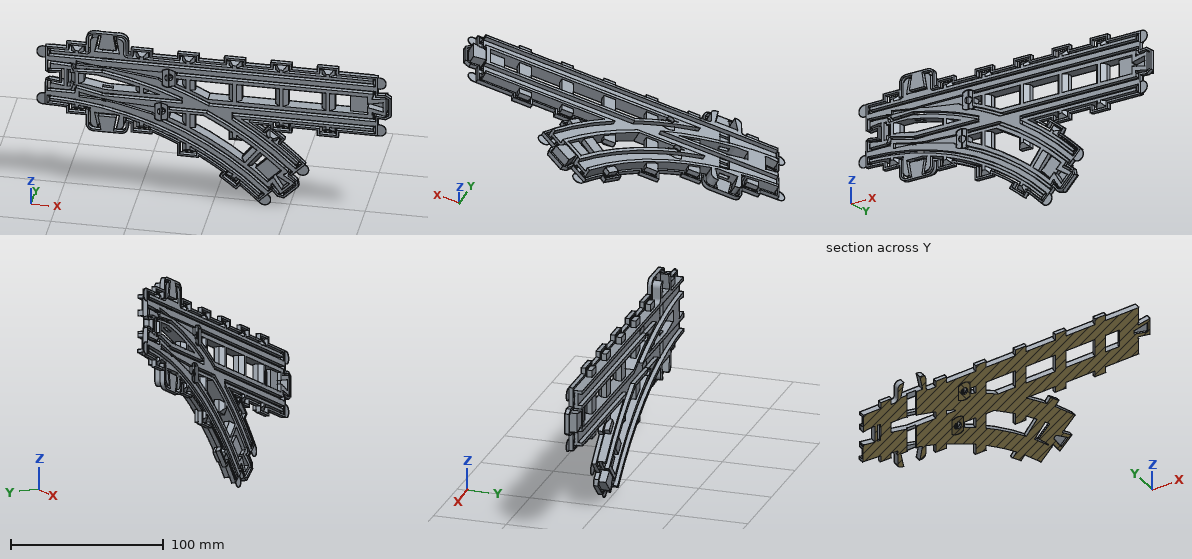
import cadquery as cq
import math


skirt_height = 3.0
channel_floor = 5.2
rail_top = 8.2
nub_top = 7.6
sleeper_top = 6.6
branch_drop = 0.2

rail_inner = 6.6
groove_inner = 9.4
rib_inner = 11.5
rib_outer = 15.1
groove_outer = 17.2
rail_outer = 19.3
skirt_inner = 20.8
skirt_outer = 22.2
channel_inner = 9.1
channel_outer = 17.1

joint_gauge = 17.9
joint_diameter = 8.5
joint_thickness = 0.3
left_joint = -1.4
straight_length = 224.0
right_joint = left_joint + straight_length
end_setback = 1.4
body_setback = 4.6
branch_radius = 226.0
branch_angle = 45.0
left_end = left_joint + end_setback
rails_left = left_joint + body_setback
skirt_wall = skirt_outer - skirt_inner

sleeper_width = 8.5
sleeper_end = 24.0
sleeper_taper = 45.0
loop_width = 14.0
loop_clearance = 2.3
sleeper_pitch = 31.0
first_sleeper = 21.0
second_sleeper = 64.0
sleeper_xs = [first_sleeper] + [second_sleeper + i * sleeper_pitch for i in range(5)]
sleeper_lower_ends = [-25.0, -34.9, -49.4, -37.4, -sleeper_end, -sleeper_end]
stub_sleeper = 3
branch_sleeper_angle = 38.0

lug_x = 41.1
lug_width = 27.8
lug_height = 35.75
lug_wall = 1.3
lug_gap = 1.5
lug_radius = 5.0
lug_lower_shift = 3.3
tab_top_width = 8.0
tab_bottom_width = 12.0
tab_bottom = 23.8
horn_top = 32.8
horn_root_gap = 2.1
horn_flare = 2.6

tunnel_length = 7.0
pivot_diameter = 13.8
pivot_hole = 5.0
pivot_flat = 4.2
pivot_wall = 1.2
pivot_web = 1.2
pivot_recess = 0.5
pivot_step = 1.0
blade_recess = 2.0
upper_pivot = (82.0, 6.35)
lower_pivot = (77.0, -19.8)
upper_blade_outline = [(20.6, 13.0), (36.9, 10.6), (47.6, 10.8), (77.8, 10.8), (77.8, 3.2),
                       (75.2, 5.1), (47.6, 8.7), (43.3, 9.7), (20.6, 10.1)]
lower_blade_outline = [(22.4, -10.5), (39.0, -13.9), (47.6, -15.1), (60.3, -15.5), (72.8, -16.2),
                       (72.8, -23.0), (71.0, -21.8), (47.6, -16.3), (39.1, -14.8), (22.4, -14.0)]


def plane(y_start):
    return cq.Workplane("XZ", origin=(0, y_start, 0))


def prism(points, y_start, y_end):
    return plane(y_start).polyline(points).close().extrude(y_start - y_end)


def block(x_start, x_end, z_start, z_end, y_start, y_end):
    corners = [(x_start, z_start), (x_end, z_start), (x_end, z_end), (x_start, z_end)]
    return prism(corners, y_start, y_end)


def cylinder(center, diameter, y_start, y_end):
    return plane(y_start).center(*center).circle(diameter / 2).extrude(y_start - y_end)


def turned(shape, angle):
    """Turn a shape about the axis of the branch arc, from the left joint along the branch."""
    axis_start = (left_joint, 0, -branch_radius)
    axis_end = (left_joint, 1, -branch_radius)
    return shape.rotate(axis_start, axis_end, angle)


def mirrored(points):
    """Close an outline given by its +Z half, from start to end, with its mirror image."""
    return points + [(x, -z) for x, z in reversed(points)]


def branch_point(offset, setback, at_end):
    """Point of the branch, a setback along the centre line from its start or its end."""
    radius = branch_radius + offset
    setback_angle = setback / branch_radius
    angle = math.radians(branch_angle) - setback_angle if at_end else setback_angle
    return left_joint + radius * math.sin(angle), -branch_radius + radius * math.cos(angle)


def branch_arc_middle(offset):
    angle = math.radians(branch_angle / 2)
    radius = branch_radius + offset
    return left_joint + radius * math.sin(angle), -branch_radius + radius * math.cos(angle)


def branch_band(inner, outer, setback, y_start, y_end):
    return (
        plane(y_start)
        .moveTo(*branch_point(outer, setback, False))
        .threePointArc(branch_arc_middle(outer), branch_point(outer, setback, True))
        .lineTo(*branch_point(inner, setback, True))
        .threePointArc(branch_arc_middle(inner), branch_point(inner, setback, False))
        .close()
        .extrude(y_start - y_end)
    )


def straight_band(inner, outer, setback, y_start, y_end):
    return block(left_joint + setback, right_joint - setback, inner, outer, y_start, y_end)


def track_bands(inner, outer, setback, y_start, y_end):
    """The same band on both sides of the straight track and of the branch."""
    bands = straight_band(inner, outer, setback, y_start, y_end)
    bands = bands.union(straight_band(-outer, -inner, setback, y_start, y_end))
    bands = bands.union(branch_band(inner, outer, setback, y_start, y_end))
    return bands.union(branch_band(-outer, -inner, setback, y_start, y_end))


guard_left = 12.4
guard_wall_end = 14.5
guard_start = 16.6
guard_inner = 3.9
notch_root = 5.2
upper_guard = [(guard_start, 12.0), (guard_start, guard_inner), (40.0, guard_inner), (50.0, 12.0)]
lower_guard = [(guard_start, -12.0), (guard_start, -guard_inner), (26.0, -guard_inner),
               (40.0, -rail_inner), (40.0, -12.0)]
upper_switch_rib = [(18.6, 15.1), (20.6, 7.3), (37.0, 8.1), (47.6, 8.0), (77.8, 1.0),
                    (77.8, 12.0), (47.6, 12.0), (47.6, 15.1)]
lower_switch_rib = [(18.6, -15.1), (20.6, -7.3), (39.0, -11.5), (72.8, -12.5), (72.8, -26.3),
                    (47.6, -18.5), (39.0, -15.1)]
left_frog = [(91.0, -6.5), (103.0, -11.5), (103.0, -13.0), (91.0, -13.0)]
right_frog = [(113.0, -14.6), (124.3, -14.6), (124.3, -20.8)]
upper_guard_groove = [(16.5, 11.3), (18.2, 10.8), (20.6, 7.3), (37.6, 8.1), (37.6, 6.0),
                      (27.0, 5.6), (18.6, 5.2), (17.4, 8.6), (16.5, 9.2)]
lower_guard_groove = [(16.5, -11.3), (18.2, -10.8), (20.6, -7.3), (37.6, -11.2), (37.6, -9.1),
                      (20.6, -5.2), (18.6, -5.2), (17.4, -8.6), (16.5, -9.2)]


def left_socket_block():
    """Cross wall and cheeks of the coupling socket at the left end, with a floor behind."""
    outline = mirrored([(guard_left, rail_inner), (rails_left, notch_root), (rails_left, groove_inner),
                        (guard_wall_end, groove_inner)])
    cheeks = prism(outline, 0, rail_top)
    floor_end = first_sleeper + sleeper_width / 2
    floor = block(guard_left, floor_end, -rail_inner, rail_inner, channel_floor, rail_top)
    return cheeks.union(floor)


def rails():
    body = track_bands(rail_inner, rail_outer, body_setback, 0, rail_top)
    body = body.union(prism(upper_guard, 0, rail_top))
    body = body.union(prism(lower_guard, 0, rail_top))
    return body.union(left_socket_block())


def hollowed(body):
    """Cut the underside grooves and put back the middle ribs that cross them."""
    for inner, outer in ((groove_inner, rib_inner), (rib_outer, groove_outer)):
        for side_inner, side_outer in ((inner, outer), (-outer, -inner)):
            body = body.cut(straight_band(side_inner, side_outer, body_setback, 0, skirt_height))
            body = body.cut(branch_band(side_inner, side_outer, body_setback, 0, skirt_height))
    for side_inner, side_outer in ((rib_inner, rib_outer), (-rib_outer, -rib_inner)):
        body = body.union(straight_band(side_inner, side_outer, end_setback, 0, skirt_height))
        body = body.union(branch_band(side_inner, side_outer, end_setback, 0, skirt_height))
    for outline in (upper_switch_rib, lower_switch_rib, left_frog, right_frog):
        body = body.union(prism(outline, 0, skirt_height))
    for outline in (upper_guard_groove, lower_guard_groove):
        body = body.cut(prism(outline, 0, skirt_height))
    return body


def wheel_channels():
    return track_bands(channel_inner, channel_outer, 0, channel_floor, rail_top)


def sleeper(x, z_start, z_end):
    """Sleeper across the track, with sloped sides and ends on the underside."""
    base = plane(skirt_height).center(x, (z_start + z_end) / 2).rect(sleeper_width, z_end - z_start)
    hip = base.extrude(skirt_height, taper=sleeper_taper)
    return hip.union(block(x - sleeper_width / 2, x + sleeper_width / 2, z_start, z_end,
                           skirt_height, sleeper_top))


def sleepers():
    body = turned(sleeper(left_joint, -sleeper_end, sleeper_end), branch_sleeper_angle)
    for x, lower_end in zip(sleeper_xs, sleeper_lower_ends):
        body = body.union(sleeper(x, lower_end, sleeper_end))
    return body


end_wall_start = -8.1
end_wall_end = -5.0
end_plate_start = -20.0
end_plate_front = 2.5
nub_tip = 4.1
nub_root = 5.1
nub_head = 6.7
hood_tip = 7.4
hood_wall = 1.5
pocket_start = -8.1
pocket_tip = 2.3
pocket_mouth = 1.2
pocket_head = 3.6
hood_root = -6.0
hood_root_half = 8.4
hood_shoulder = 3.8
hood_shoulder_half = 9.3
hood_tip_half = 6.9


def at_joint(points):
    return [(left_joint + x, z) for x, z in points]


def end_coupling():
    """End wall, floor plate and dovetail nub with its pocket."""
    wall = prism(at_joint(mirrored([(end_wall_start, groove_inner), (end_wall_end, groove_inner)])),
                 0, rail_top)
    plate = prism(at_joint(mirrored([(end_plate_start, rail_inner), (end_wall_start, rail_inner)])),
                  end_plate_front, channel_floor)
    nub = prism(at_joint(mirrored([(end_wall_end, nub_root), (nub_tip, nub_head)])), 0, nub_top)
    pocket = prism(at_joint(mirrored([(pocket_start, pocket_mouth), (pocket_tip, pocket_head)])),
                   0, channel_floor)
    return wall.union(plate).union(nub).cut(pocket)


hood_outline = [(hood_root, hood_root_half), (hood_shoulder, hood_shoulder_half), (hood_tip, hood_tip_half)]
hood_hollow = [
    (hood_root, hood_root_half - hood_wall),
    (hood_shoulder - hood_wall / 3, hood_shoulder_half - hood_wall),
    (hood_tip - hood_wall, hood_tip_half - hood_wall / 2),
]


def hood(outline, y_start):
    """Part of the skirt around the nub, or its hollow."""
    return prism(at_joint(mirrored(outline)), y_start, skirt_height)


socket_mouth = 3.8
socket_neck = 2.3
socket_neck_x = 2.2
socket_depth = 9.3
socket_half = 3.3


def loop_box(x, z_start, z_end, wall, y_start):
    half = loop_width / 2 - wall
    return block(x - half, x + half, z_start + wall, z_end - wall, y_start, skirt_height)


def lug_box(wall):
    half = lug_width / 2 - wall
    outline = block(lug_x - half, lug_x + half, 0, lug_height - wall, 0, skirt_height)
    return outline.edges("|Y and >Z").fillet(lug_radius - wall)


def lower_side(shape):
    """The lower copy of a side lug feature, shifted out to the branch rail."""
    return shape.mirror("XY").translate((0, 0, -lug_lower_shift))


def skirt_area(wall):
    """Area enclosed by the skirt, drawn in from its outer face by the wall."""
    half = skirt_outer - wall
    setback = end_setback + wall
    area = straight_band(-half, half, setback, 0, skirt_height)
    area = area.union(branch_band(-half, half, setback, 0, skirt_height))
    for index, (x, lower_end) in enumerate(zip(sleeper_xs, sleeper_lower_ends)):
        lower = 0 if index == stub_sleeper else lower_end - loop_clearance
        area = area.union(loop_box(x, lower, sleeper_end + loop_clearance, wall, 0))
    lug = lug_box(wall)
    return area.union(lug).union(lower_side(lug))


def branch_loop_area(wall):
    reach = sleeper_end + loop_clearance
    upper = loop_box(left_joint, rail_outer - wall, reach, wall, -branch_drop)
    lower = loop_box(left_joint, -reach, wall - rail_outer, wall, -branch_drop)
    return turned(upper.union(lower), branch_sleeper_angle)


def socket_area(wall):
    """Dovetail recess of the skirt at the left end, widened by the wall."""
    outline = mirrored([(left_joint, socket_mouth + wall), (left_end, socket_mouth + wall),
                        (left_end + socket_neck_x, socket_neck + wall),
                        (left_end + socket_depth + wall, socket_half + wall)])
    return prism(outline, 0, skirt_height)


def at_both_ends(straight_shape, branch_shape):
    straight_end = straight_shape.translate((straight_length, 0, 0))
    return straight_end.union(turned(branch_shape, branch_angle))


def skirt():
    outer = skirt_area(0).union(branch_loop_area(0)).cut(socket_area(0))
    outer = outer.union(at_both_ends(hood(hood_outline, 0), hood(hood_outline, -branch_drop)))
    inner = skirt_area(skirt_wall).union(branch_loop_area(skirt_wall)).cut(socket_area(lug_wall))
    hollow = hood(hood_hollow, -branch_drop)
    inner_band = branch_band(-skirt_inner, skirt_inner, end_setback + skirt_wall, -branch_drop, 0)
    return outer.cut(inner).cut(inner_band).cut(at_both_ends(hollow, hollow))


def horns():
    half = lug_width / 2 - lug_wall - lug_gap
    body = block(lug_x - half, lug_x + half, groove_outer, horn_top, 0, rail_top)
    body = body.edges("|Y and >Z").fillet(lug_radius - lug_wall)
    for side in (-1, 1):
        edge = lug_x + side * half
        tip = edge + side * horn_flare
        flare = block(min(edge, tip), max(edge, tip), rail_outer, rail_outer + horn_flare, 0, rail_top)
        body = body.union(flare.cut(cylinder((tip, rail_outer + horn_flare), 2 * horn_flare, 0, rail_top)))
    root_half = (tab_bottom_width + 3 * lug_gap) / 2
    tip_half = tab_top_width / 2 + lug_gap
    root = tab_bottom - horn_root_gap
    pocket = [(lug_x - root_half, root), (lug_x + root_half, root),
              (lug_x + tip_half, lug_height), (lug_x - tip_half, lug_height)]
    return body.cut(prism(pocket, 0, rail_top))


def tab():
    top = lug_height - lug_wall / 2
    outline = [(lug_x - tab_bottom_width / 2, tab_bottom), (lug_x + tab_bottom_width / 2, tab_bottom),
               (lug_x + tab_top_width / 2, top), (lug_x - tab_top_width / 2, top)]
    return prism(outline, 0, skirt_height)


def joint_discs():
    pair = cylinder((left_joint, joint_gauge), joint_diameter, 0, joint_thickness)
    pair = pair.union(cylinder((left_joint, -joint_gauge), joint_diameter, 0, joint_thickness))
    return pair.union(at_both_ends(pair, pair))


def pivot_disc(center, flat, y_start, y_end):
    """Disc around the pivot with flats on its -X and +X sides."""
    disc = cylinder(center, pivot_diameter, y_start, y_end)
    keep = block(center[0] - flat, center[0] + flat, center[1] - pivot_diameter,
                 center[1] + pivot_diameter, y_start, y_end)
    return disc.intersect(keep)


def make_pivot(center):
    """Pivot disc with a stepped underside and a hole crossed by a web."""
    disc = pivot_disc(center, pivot_flat, pivot_recess, channel_floor)
    step = block(center[0], center[0] + pivot_diameter, center[1] - pivot_diameter,
                 center[1] + pivot_diameter, pivot_recess, pivot_recess + pivot_step)
    hole = cylinder(center, pivot_hole, 0, rail_top)
    web = block(center[0] - pivot_web, center[0], center[1] - pivot_hole / 2,
                center[1] + pivot_hole / 2, pivot_recess, channel_floor)
    return disc.cut(step).cut(hole).union(web)


def make_blade(outline, center):
    """Flat switch tongue ending at the near flat of its pivot disc."""
    blade = prism(outline, blade_recess, skirt_height)
    return blade.cut(pivot_disc(center, pivot_flat, 0, channel_floor))


def make_track():
    body = rails().union(sleepers()).union(horns()).union(lower_side(horns()))
    body = hollowed(body)
    for center in (upper_pivot, lower_pivot):
        body = body.union(pivot_disc(center, pivot_flat + pivot_wall, 0, channel_floor))
    body = body.union(at_both_ends(end_coupling(), end_coupling()))
    body = body.cut(wheel_channels())
    body = body.cut(block(lug_x - tunnel_length / 2, lug_x + tunnel_length / 2,
                          -lug_height, lug_height, skirt_height, channel_floor))
    body = body.union(skirt()).union(tab()).union(lower_side(tab()))
    body = body.union(joint_discs())
    for outline, center in ((upper_blade_outline, upper_pivot), (lower_blade_outline, lower_pivot)):
        body = body.cut(prism(outline, 0, skirt_height))
        body = body.cut(pivot_disc(center, pivot_flat, 0, channel_floor))
        body = body.cut(cylinder(center, pivot_hole, 0, rail_top))
    return body


track = make_track()
upper_blade = make_blade(upper_blade_outline, upper_pivot)
lower_blade = make_blade(lower_blade_outline, lower_pivot)
pivots = [make_pivot(center) for center in (upper_pivot, lower_pivot)]

result = cq.Compound.makeCompound(
    [*track.vals(), upper_blade.val(), lower_blade.val()] + [pivot.val() for pivot in pivots]
)